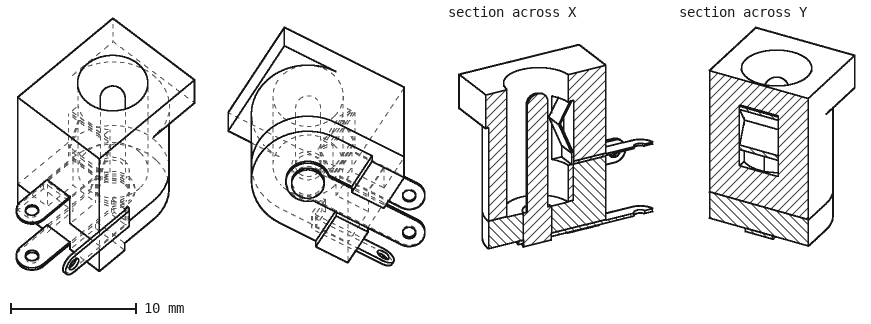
import cadquery as cq
import math


body_width = 9.0
body_radius = body_width / 2
front_y = -6.26
total_height = 14.62
foot_height = 0.92
base_plate_thickness = 2.43
base_top = foot_height + base_plate_thickness
foot_depth = 2.95

flange_depth = 11.0
flange_height = 3.0

bore_radius = 2.8

tab_width = 2.5
tab_reach = 4.3
tab_tip_y = front_y - tab_reach
tab_hole_diameter = 1.04
sheet = 0.3

sleeve_tab_sheet = 0.2
tongue_height = 3.25
sleeve_tab_bottom = base_top + tongue_height
sleeve_tab_top = sleeve_tab_bottom + sleeve_tab_sheet
tongue_end_y = -3.3

spring_width = 3.5
spring_sheet = 0.2
spring_contact_y = -1.92
spring_foot_height = 1.0
spring_contact_height = 3.8
spring_contact_z = sleeve_tab_bottom + spring_contact_height
spring_lip_angle = 60
spring_tip_y = -2.95
spring_lip_reach = spring_contact_y - spring_tip_y
spring_tip_z = spring_contact_z + spring_lip_reach * math.tan(math.radians(spring_lip_angle))

pin_radius = 1.0
pin_mouth_gap = 1.0
pin_shank_radius = 1.3

pin_tab_bottom = foot_height - sheet
pin_tab_eye_radius = 1.75
pin_shank_bottom = pin_tab_bottom - sheet

switch_tab_height = 2.0
switch_tab_gap = 0.08
switch_tab_inner_x = body_radius + switch_tab_gap
switch_tab_back_y = -3.0
switch_tab_insertion = 1.5
switch_tab_arm_tip_x = body_radius - switch_tab_insertion


def block(x_min, x_max, y_min, y_max, z_min, z_max):
    """Axis-aligned box given by its limits."""
    size = (x_max - x_min, y_max - y_min, z_max - z_min)
    return cq.Workplane("XY").box(*size, centered=False).translate((x_min, y_min, z_min))


def centred_block(width, y_min, y_max, z_min, z_max):
    """Box that is symmetric about the YZ plane."""
    return block(-width / 2, width / 2, y_min, y_max, z_min, z_max)


def cylinder(radius, z_min, z_max):
    """Cylinder on the jack axis."""
    return cq.Workplane("XY").workplane(offset=z_min).circle(radius).extrude(z_max - z_min)


def d_shape(z_min, z_max):
    """Prism with a flat front and a half-round back."""
    outline = (
        cq.Workplane("XY")
        .workplane(offset=z_min)
        .moveTo(-body_radius, front_y)
        .lineTo(body_radius, front_y)
        .lineTo(body_radius, 0)
        .threePointArc((0, body_radius), (-body_radius, 0))
        .close()
    )
    return outline.extrude(z_max - z_min)


def tab_blade(width, inner_y, thickness):
    """Flat blade in the XY plane with a round, drilled tip; its underside is at Z = 0."""
    half_width = width / 2
    tip_centre_y = tab_tip_y + half_width
    blade = (
        cq.Workplane("XY")
        .moveTo(-half_width, inner_y)
        .lineTo(-half_width, tip_centre_y)
        .threePointArc((0, tab_tip_y), (half_width, tip_centre_y))
        .lineTo(half_width, inner_y)
        .close()
        .extrude(thickness)
    )
    hole = cylinder(tab_hole_diameter / 2, 0, thickness).translate((0, tip_centre_y, 0))
    return blade.cut(hole)


def make_pin():
    """Shank through base and pin tab, then the contact pin with a domed tip."""
    dome_centre_z = total_height - pin_mouth_gap - pin_radius
    shank = cylinder(pin_shank_radius, pin_shank_bottom, base_top)
    post = cylinder(pin_radius, base_top, dome_centre_z)
    dome = cq.Workplane("XY").sphere(pin_radius).translate((0, 0, dome_centre_z))
    return shank.union(post).union(dome)


def make_pin_tab():
    """Strap under the base plate with a round eye around the pin shank."""
    blade = tab_blade(tab_width, 0, sheet).translate((0, 0, pin_tab_bottom))
    eye = cylinder(pin_tab_eye_radius, pin_tab_bottom, foot_height)
    return blade.union(eye).cut(cylinder(pin_shank_radius, pin_tab_bottom, foot_height))


def make_sleeve_tab():
    """Thin strap on top of the tongue, reaching in to the leaf spring."""
    return tab_blade(tab_width, tongue_end_y, sleeve_tab_sheet).translate((0, 0, sleeve_tab_bottom))


def switch_tab_arm():
    """Bent end of the switch tab: a quarter-round bend and a straight arm into the wall."""
    bend_end_y = switch_tab_back_y - sheet
    bend_mid = sheet * math.sqrt(0.5)
    return (
        cq.Workplane("XY")
        .workplane(offset=base_top)
        .moveTo(switch_tab_arm_tip_x, switch_tab_back_y)
        .lineTo(switch_tab_inner_x, switch_tab_back_y)
        .threePointArc(
            (switch_tab_inner_x + bend_mid, bend_end_y + bend_mid),
            (switch_tab_inner_x + sheet, bend_end_y),
        )
        .lineTo(switch_tab_arm_tip_x, bend_end_y)
        .close()
        .extrude(switch_tab_height)
    )


def make_switch_tab():
    """Upright blade beside the housing whose back end is bent into the side wall."""
    blade = (
        tab_blade(switch_tab_height, switch_tab_back_y - sheet, sheet)
        .rotate((0, 0, 0), (0, 1, 0), 90)
        .translate((switch_tab_inner_x, 0, base_top + switch_tab_height / 2))
    )
    return blade.union(switch_tab_arm())


def make_spring():
    """Leaf that rises from the sleeve tab, leans into the bore and turns back out."""
    foot_y = tongue_end_y + spring_sheet
    inner_face = [
        (foot_y, sleeve_tab_bottom),
        (foot_y, sleeve_tab_bottom + spring_foot_height),
        (spring_contact_y, spring_contact_z),
        (spring_tip_y, spring_tip_z),
    ]
    outer_face = [(y - spring_sheet, z) for y, z in reversed(inner_face)]
    profile = cq.Workplane("YZ").polyline(inner_face + outer_face).close()
    return profile.extrude(spring_width / 2, both=True)


def make_base():
    """Base plate with a notched front foot and a tongue that closes the housing slot."""
    plate = d_shape(foot_height, base_top)
    foot = centred_block(body_width, front_y, front_y + foot_depth, 0, foot_height)
    notch = centred_block(tab_width, front_y, front_y + foot_depth, 0, foot_height)
    tongue = centred_block(tab_width, front_y, tongue_end_y, base_top, sleeve_tab_bottom)
    pin_hole = cylinder(pin_shank_radius, foot_height, base_top)
    return plate.union(foot).cut(notch).union(tongue).cut(pin_hole)


def make_housing():
    """D-shaped shell with a square flange at the mouth and recesses for the metal parts."""
    shell = d_shape(base_top, total_height)
    flange = centred_block(
        body_width, front_y, front_y + flange_depth, total_height - flange_height, total_height
    )
    bore = cylinder(bore_radius, base_top, total_height)
    tongue_slot = centred_block(tab_width, front_y, tongue_end_y, base_top, sleeve_tab_top)
    spring_pocket = centred_block(
        spring_width, tongue_end_y, spring_contact_y, sleeve_tab_bottom, spring_tip_z
    )
    arm_slot = block(
        switch_tab_arm_tip_x, body_radius,
        switch_tab_back_y - sheet, switch_tab_back_y,
        base_top, base_top + switch_tab_height,
    )
    return shell.union(flange).cut(bore).cut(tongue_slot).cut(spring_pocket).cut(arm_slot)


housing = make_housing()
base = make_base()
pin = make_pin()
pin_tab = make_pin_tab()
sleeve_tab = make_sleeve_tab()
spring = make_spring()
switch_tab = make_switch_tab()

result = cq.Compound.makeCompound([
    housing.val(),
    base.val(),
    pin.val(),
    pin_tab.val(),
    sleeve_tab.val(),
    spring.val(),
    switch_tab.val(),
])